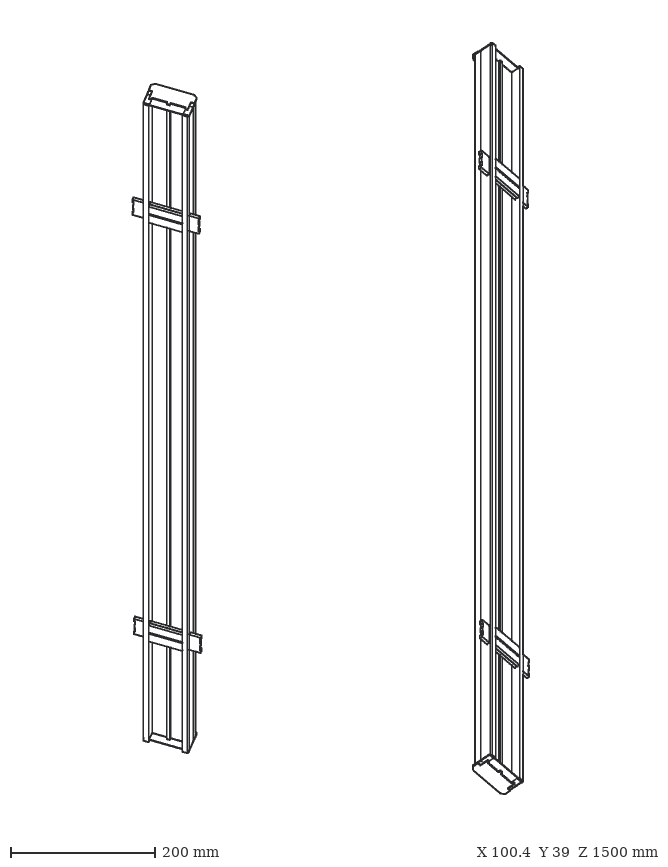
import cadquery as cq

LENGTH = 1500
DEPTH = 39.0
FRONT_Y = -DEPTH / 2
BACK_Y = DEPTH / 2
HALF_WIDTH = 33.7

CAP_THICKNESS = 3.0
CAP_STEP_DEPTH = 1.0
CAP_STEP_HALF_WIDTH = 28.0
CAP_STEP_BACK_Y = 6.0
CAP_BACK_HALF_WIDTH = 28.0

INNER_LENGTH = LENGTH - 2 * CAP_THICKNESS
SEAM_Y = 0.7
HOUSING_BACK_Y = 15.7
HOUSING_CHAMFER = 5.0

CHANNEL_HALF_WIDTH = 24.7
FLOOR_Y = -5.0
RIB_WIDTH = 5.0
RIB_HEIGHT = 3.0
RIB_FRONT_Y = FLOOR_Y - RIB_HEIGHT
LIP_THICKNESS = 3.0
LIP_CHAMFER = 1.0
LIP_BACK_Y = FRONT_Y + LIP_THICKNESS

BRACKET_LONG_REACH = 50.2
BRACKET_SHORT_REACH = 48.0
BRACKET_HEIGHT = 36.0
BRACKET_BACK_Y = -10.0
BRACKET_THICKNESS = 5.0
BRACKET_FRONT_Y = BRACKET_BACK_Y - BRACKET_THICKNESS
BRACKET_Z = 493.0
PAD_HEIGHT = 37.0
PAD_GROOVE = 1.0
NOTCH_HEIGHT = 24.0
NOTCH_DEPTH = 1.0
TAB_HEIGHT = 9.0
TAB_LENGTH = 0.7


def mirrored(right_half):
    """Complete the right half of an outline with its mirror image about X = 0."""
    return right_half + [(-x, y) for x, y in reversed(right_half)]


def extrude_outline(points, bottom, height):
    """Extrude an outline in X and Y upwards from the level `bottom`."""
    return cq.Workplane("XY", origin=(0, 0, bottom)).polyline(points).close().extrude(height)


def block(x_range, y_range, z_range):
    """Box between the given lower and upper limits on each axis."""
    lower, upper = zip(x_range, y_range, z_range)
    size = [high - low for low, high in zip(lower, upper)]
    return cq.Workplane("XY").box(*size, centered=False).translate(lower)


FLOOR_EDGE = [
    (RIB_WIDTH / 2, RIB_FRONT_Y),
    (RIB_WIDTH / 2, FLOOR_Y),
    (CHANNEL_HALF_WIDTH, FLOOR_Y),
]


def make_housing():
    """Solid rear profile with both back corners chamfered."""
    outline = mirrored([
        (HALF_WIDTH, SEAM_Y),
        (HALF_WIDTH, HOUSING_BACK_Y - HOUSING_CHAMFER),
        (HALF_WIDTH - HOUSING_CHAMFER, HOUSING_BACK_Y),
    ])
    return extrude_outline(outline, -INNER_LENGTH / 2, INNER_LENGTH)


def make_front_profile():
    """Open channel with a floor rib; its chamfered front lips run the whole length."""
    outline = mirrored(FLOOR_EDGE + [
        (CHANNEL_HALF_WIDTH, LIP_BACK_Y),
        (HALF_WIDTH, LIP_BACK_Y),
        (HALF_WIDTH, SEAM_Y),
    ])
    profile = extrude_outline(outline, -INNER_LENGTH / 2, INNER_LENGTH)
    for side in (-1, 1):
        lip_outline = [
            (side * CHANNEL_HALF_WIDTH, LIP_BACK_Y),
            (side * CHANNEL_HALF_WIDTH, FRONT_Y),
            (side * (HALF_WIDTH - LIP_CHAMFER), FRONT_Y),
            (side * HALF_WIDTH, LIP_BACK_Y),
        ]
        profile = profile.union(extrude_outline(lip_outline, -LENGTH / 2, LENGTH))
    return profile


def make_end_cap():
    """Upper end cap, lower in front of a step that follows the channel floor."""
    outline = mirrored([
        (HALF_WIDTH, LIP_BACK_Y),
        (HALF_WIDTH, HOUSING_BACK_Y),
        (CAP_BACK_HALF_WIDTH, BACK_Y),
    ])
    cap = extrude_outline(outline, LENGTH / 2 - CAP_THICKNESS, CAP_THICKNESS)
    lowered = mirrored(FLOOR_EDGE + [
        (CHANNEL_HALF_WIDTH, RIB_FRONT_Y),
        (CAP_STEP_HALF_WIDTH, RIB_FRONT_Y),
        (CAP_STEP_HALF_WIDTH, CAP_STEP_BACK_Y),
        (HALF_WIDTH, CAP_STEP_BACK_Y),
        (HALF_WIDTH, LIP_BACK_Y),
    ])
    return cap.cut(extrude_outline(lowered, LENGTH / 2 - CAP_STEP_DEPTH, CAP_STEP_DEPTH))


def bracket_outline():
    """Plate outline in X and Z: both ends notched, each with a short tab in the notch."""
    half_end = [
        (0, BRACKET_HEIGHT / 2),
        (0, NOTCH_HEIGHT / 2),
        (NOTCH_DEPTH, NOTCH_HEIGHT / 2),
        (NOTCH_DEPTH, TAB_HEIGHT / 2),
        (NOTCH_DEPTH - TAB_LENGTH, TAB_HEIGHT / 2),
    ]
    end = half_end + [(inset, -z) for inset, z in reversed(half_end)]
    right = [(BRACKET_SHORT_REACH - inset, z) for inset, z in end]
    left = [(inset - BRACKET_LONG_REACH, z) for inset, z in reversed(end)]
    return right + left


def make_bracket():
    """Bracket centred on Z = 0, with its longer end towards -X."""
    plate = (
        cq.Workplane("XZ", origin=(0, BRACKET_BACK_Y, 0))
        .polyline(bracket_outline()).close().extrude(BRACKET_THICKNESS)
    )
    pad_width = (-CHANNEL_HALF_WIDTH, CHANNEL_HALF_WIDTH)
    pad = block(pad_width, (FRONT_Y, BRACKET_FRONT_Y), (-PAD_HEIGHT / 2, PAD_HEIGHT / 2))
    groove = block(pad_width, (FRONT_Y, FRONT_Y + PAD_GROOVE), (-PAD_GROOVE / 2, PAD_GROOVE / 2))
    return plate.union(pad.cut(groove))


housing = make_housing()
front_profile = make_front_profile()
upper_cap = make_end_cap()
lower_cap = upper_cap.mirror("XY")

brackets = []
for turn in (0, 180):
    bracket = make_bracket().translate((0, 0, BRACKET_Z)).rotate((0, 0, 0), (0, 1, 0), turn)
    front_profile = front_profile.cut(bracket)
    brackets.append(bracket)

result = cq.Compound.makeCompound([
    housing.val(),
    front_profile.val(),
    upper_cap.val(),
    lower_cap.val(),
    *[bracket.val() for bracket in brackets],
])